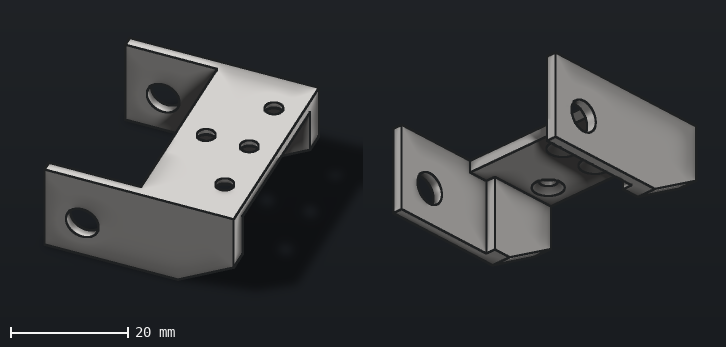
import cadquery as cq

length = 35.0
width = 38.2
height = 16.65

arm_thickness = 2.02
plate_thickness = 2.35
plate_bottom = height - plate_thickness
pad_thickness = 2.02
plate_start = 17.0
pad_start = 21.0

slope_length = 10.3
slope_height = 5.92

pivot_diameter = 6.0
pivot_x = 7.0
pivot_z = 7.0

mount_diameter = 3.2
countersink_depth = 1.22
mount_row_x = 30.0
mount_single_x = 22.0
mount_spacing = 11.0


def side_wall(start_x, y_min, thickness):
    """Upright wall from start_x to the +X end, with its lower corner sloped."""
    profile = [
        (start_x, 0),
        (length - slope_length, 0),
        (length, slope_height),
        (length, height),
        (start_x, height),
    ]
    return (
        cq.Workplane("XZ", origin=(0, y_min, 0))
        .polyline(profile)
        .close()
        .extrude(-thickness)
    )


result = cq.Workplane("XY").box(
    length - plate_start, width, plate_thickness, centered=(False, True, False)
).translate((plate_start, 0, plate_bottom))

right_arm = side_wall(0, -width / 2, arm_thickness)
right_pad = side_wall(pad_start, -width / 2 + arm_thickness, pad_thickness)
right_side = right_arm.union(right_pad)
result = result.union(right_side).union(right_side.mirror("XZ"))

pivot = (
    cq.Workplane("XZ")
    .center(pivot_x, pivot_z)
    .circle(pivot_diameter / 2)
    .extrude(width / 2, both=True)
)
result = result.cut(pivot)

mount_points = [(mount_row_x, step * mount_spacing) for step in (-1, 0, 1)]
mount_points.append((mount_single_x, 0))
mount_radius = mount_diameter / 2
mount_holes = (
    cq.Workplane("XY")
    .pushPoints(mount_points)
    .circle(mount_radius)
    .extrude(height)
)
result = result.cut(mount_holes)
for x, y in mount_points:
    countersink = cq.Solid.makeCone(
        mount_radius + countersink_depth,
        mount_radius,
        countersink_depth,
        pnt=cq.Vector(x, y, plate_bottom),
    )
    result = result.cut(cq.Workplane(obj=countersink))